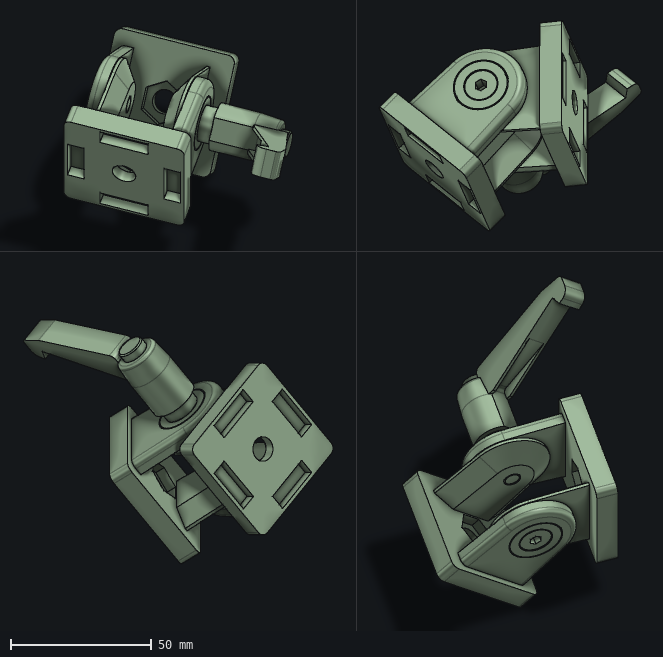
import cadquery as cq
import math


plate_size = 45.0
plate_thickness = 8.0
plate_corner_radius = 2.8
pivot_to_plate_face = 30.0
plate_inner_face = pivot_to_plate_face - plate_thickness
rear_fold_angle = 45

slot_length = 18.0
slot_width = 6.2
slot_depth = 4.0
slot_offset = 18.0
bolt_hole_radius = 4.35
nut_across_flats = 14.0
nut_depth = 3.6

arm_radius = 15.8
arm_base_half_width = 16.75
outer_arm_inside = 14.4
outer_arm_outside = 19.95
outer_arm_edge_radius = 2.55
inner_arm_inside = 7.7
inner_arm_outside = 14.1
inner_arm_rim = 1.2
inner_arm_bevel = 7.55

disc_recess_radius = 10.0
disc_radius = 9.6
disc_thickness = 4.0
head_radius = 5.9
head_countersink = 0.3
pin_radius = 3.1
pin_end_chamfer = 0.5
socket_across_flats = 4.0
socket_depth = 4.9
collar_radius = 6.65
collar_end = 25.05

lever_angle = 45
hub_radius = 8.8
hub_flat_height = 7.7
hub_cone_start = 39.9
hub_end = 48.8
hub_end_radius = 8.05
hub_edge_radius = 1.2
lever_width = 10.35
lever_root_height = 5.3
lever_root_x = 51.9
lever_root_radius = 2.5
grip_start_height = 9.45
notch_x, notch_height = 53.95, 47.1
lip_x, lip_height = 50.0, 49.1
lever_length = 53.95
lever_outer_x = 59.6
lever_bend_height = 43.7
tip_round_radius = 4.1
tip_corner_radius = 1.4
pocket_width = 7.55
pocket_floor_x = 42.05
pocket_corner_radius = 1.8
pocket_end_x, pocket_end_height = 47.95, 31.2
screw_radius = 5.0
screw_end = 52.2
screw_chamfer = 0.5


def cylinder(radius, x_start, x_end):
    """A cylinder about the pivot axis."""
    return cq.Workplane("YZ").workplane(offset=x_start).circle(radius).extrude(x_end - x_start)


def arm_outline(x):
    """Arm outline in the plane at x: round about the pivot, widening down into the plate."""
    reach = math.hypot(plate_inner_face, arm_base_half_width)
    flare = math.acos(arm_radius / reach) - math.atan2(plate_inner_face, arm_base_half_width)
    tangent_y = arm_radius * math.sin(flare)
    tangent_z = arm_radius * math.cos(flare)
    foot_y = -pivot_to_plate_face
    foot_z = arm_base_half_width + plate_thickness * math.tan(flare)
    return (
        cq.Workplane("YZ").workplane(offset=x)
        .moveTo(foot_y, foot_z)
        .lineTo(tangent_y, tangent_z)
        .threePointArc((arm_radius, 0), (tangent_y, -tangent_z))
        .lineTo(foot_y, -foot_z)
        .close()
    )


def outer_arm():
    """The +X arm, rounded along its outside edge and recessed for a pivot disc."""
    arm = arm_outline(outer_arm_inside).extrude(outer_arm_outside - outer_arm_inside)
    arm = arm.faces(">X").edges("not(<Y)").fillet(outer_arm_edge_radius)
    recess = cylinder(disc_recess_radius, outer_arm_outside - disc_thickness, outer_arm_outside)
    pin_hole = cylinder(pin_radius, outer_arm_inside, outer_arm_outside)
    return arm.cut(recess).cut(pin_hole)


def inner_arm():
    """The -X arm, bevelled all round toward the middle of the hinge."""
    bevel_height = inner_arm_outside - inner_arm_rim - inner_arm_inside
    bevel_angle = math.degrees(math.atan2(inner_arm_bevel, bevel_height))
    rim = arm_outline(-inner_arm_outside).extrude(inner_arm_rim)
    bevel = arm_outline(inner_arm_rim - inner_arm_outside).extrude(bevel_height, taper=bevel_angle)
    pin_hole = cylinder(pin_radius, -inner_arm_outside, -inner_arm_inside)
    return rim.union(bevel).cut(pin_hole)


def plate_face():
    """Workplane on the outer face of the base plate, facing outward."""
    return cq.Workplane("XZ", origin=(0, -pivot_to_plate_face, 0))


def base_plate():
    """Square plate with rounded corners."""
    plate = plate_face().rect(plate_size, plate_size).extrude(-plate_thickness)
    return plate.edges("|Y").fillet(plate_corner_radius)


def plate_slots():
    """Four blind slots, one along each side of the outer face."""
    flat_slots = (
        plate_face().pushPoints([(0, slot_offset), (0, -slot_offset)])
        .rect(slot_length, slot_width).extrude(-slot_depth)
    )
    upright_slots = (
        plate_face().pushPoints([(slot_offset, 0), (-slot_offset, 0)])
        .rect(slot_width, slot_length).extrude(-slot_depth)
    )
    return flat_slots.union(upright_slots)


def bolt_hole():
    """Through hole with a hexagon pocket for a nut in the inner face."""
    hole = plate_face().circle(bolt_hole_radius).extrude(-plate_thickness)
    nut_pocket = (
        cq.Workplane("XZ", origin=(0, -plate_inner_face, 0))
        .polygon(6, nut_across_flats, circumscribed=True).extrude(nut_depth)
    )
    return hole.union(nut_pocket)


def hinge_half():
    """One half with its plate on the -Y side; both halves are the same part."""
    body = base_plate().union(outer_arm()).union(inner_arm())
    return body.cut(plate_slots()).cut(bolt_hole())


def pivot_disc():
    """Disc lying in the recess of a +X outer arm, with a countersunk hole for a head."""
    x_start = outer_arm_outside - disc_thickness
    disc = cylinder(disc_radius, x_start, outer_arm_outside)
    disc = disc.cut(cylinder(head_radius, x_start, outer_arm_outside))
    hole_edge = disc.faces(">X").edges(cq.selectors.RadiusNthSelector(0))
    return hole_edge.chamfer(head_countersink)


def pivot_pin():
    """Head filling the disc on the +X side, and a pin reaching through both arms."""
    head = cylinder(head_radius, outer_arm_outside - disc_thickness, outer_arm_outside)
    pin = cylinder(pin_radius, inner_arm_inside, outer_arm_outside)
    pin = pin.faces("<X").edges().chamfer(pin_end_chamfer)
    return head.union(pin)


def socket_pin():
    """Pivot pin tightened through a hexagon socket in its head."""
    socket = (
        cq.Workplane("YZ").workplane(offset=outer_arm_outside)
        .polygon(6, socket_across_flats, circumscribed=True).extrude(-socket_depth)
    )
    return pivot_pin().cut(socket)


def collar_pin():
    """Pivot pin with a collar that carries the lever."""
    return pivot_pin().union(cylinder(collar_radius, outer_arm_outside, collar_end))


def lever_hub():
    """Cylinder with a flat facing the grip, narrowing to a rounded end."""
    hub = (
        cq.Workplane("XY")
        .moveTo(collar_end, 0)
        .lineTo(collar_end, hub_radius)
        .lineTo(hub_cone_start, hub_radius)
        .lineTo(hub_end, hub_end_radius)
        .lineTo(hub_end, 0)
        .close()
        .revolve(360, (0, 0, 0), (1, 0, 0))
    )
    hub = hub.faces(">X").edges().fillet(hub_edge_radius)
    above_flat = cq.Workplane("XY", origin=(collar_end, 0, hub_flat_height)).box(
        hub_cone_start - collar_end, 2 * hub_radius, hub_radius, centered=(False, True, False)
    )
    return hub.cut(above_flat)


def lever_grip():
    """Flat bar leaning outward from the hub, with a hooked tip."""
    inside_slope = (notch_x - hub_cone_start) / (notch_height - grip_start_height)
    tip_inner_x = lip_x + inside_slope * (lever_length - lip_height)
    grip = (
        cq.Workplane("XZ", origin=(0, lever_width / 2, 0))
        .moveTo(hub_cone_start, lever_root_height)
        .lineTo(hub_cone_start, grip_start_height)
        .lineTo(notch_x, notch_height)
        .lineTo(lip_x, lip_height)
        .lineTo(tip_inner_x, lever_length)
        .lineTo(lever_outer_x, lever_length)
        .lineTo(lever_outer_x, lever_bend_height)
        .lineTo(lever_root_x, lever_root_height)
        .close()
        .extrude(lever_width)
    )
    grip = grip.edges("|Y and >X and >Z").fillet(tip_corner_radius)
    tip_corner = cq.selectors.NearestToPointSelector((tip_inner_x, 0, lever_length))
    grip = grip.edges(tip_corner).fillet(tip_round_radius)
    root_corner = cq.selectors.NearestToPointSelector((lever_root_x, 0, lever_root_height))
    return grip.edges(root_corner).fillet(lever_root_radius)


def lever_pocket():
    """Pocket continuing the hub flat into the grip and fading out along it."""
    return (
        cq.Workplane("XZ", origin=(0, pocket_width / 2, 0))
        .moveTo(hub_cone_start, hub_flat_height)
        .lineTo(pocket_floor_x, hub_flat_height)
        .radiusArc(
            (pocket_floor_x + pocket_corner_radius, hub_flat_height + pocket_corner_radius),
            -pocket_corner_radius,
        )
        .lineTo(pocket_end_x, pocket_end_height)
        .lineTo(hub_cone_start, pocket_end_height)
        .close()
        .extrude(pocket_width)
    )


def clamping_lever():
    return lever_hub().union(lever_grip()).cut(lever_pocket())


def lever_screw():
    return cylinder(screw_radius, hub_end, screw_end).faces(">X").edges().chamfer(screw_chamfer)


def lean(body, angle):
    """Turn a body about the pivot axis."""
    return body.rotate((0, 0, 0), (1, 0, 0), angle)


def face_left(body):
    """Turn a body half round, so that its +X side comes to -X."""
    return body.rotate((0, 0, 0), (0, 0, 1), 180)


front_hinge = hinge_half()
rear_hinge = lean(face_left(hinge_half()), -rear_fold_angle)
right_disc = pivot_disc()
left_disc = face_left(pivot_disc())
left_pin = face_left(socket_pin())
right_pin = lean(collar_pin(), lever_angle)
lever = lean(clamping_lever(), lever_angle)
screw = lean(lever_screw(), lever_angle)

result = cq.Compound.makeCompound([
    front_hinge.val(),
    rear_hinge.val(),
    right_disc.val(),
    left_disc.val(),
    left_pin.val(),
    right_pin.val(),
    lever.val(),
    screw.val(),
])